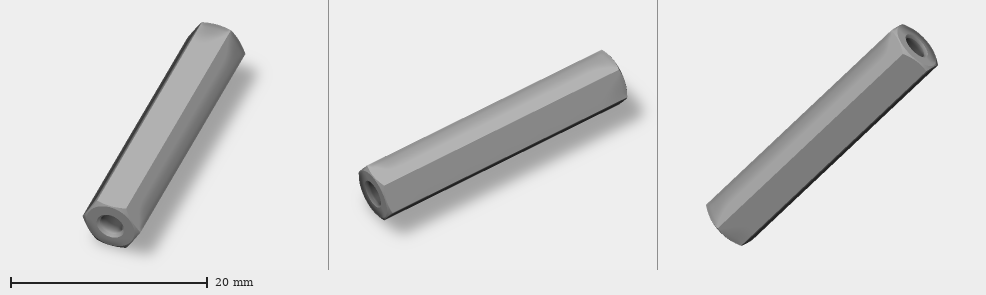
import cadquery as cq
import math

length = 29.0
across_flats = 5.5
across_corners = across_flats / math.cos(math.radians(30))

face_diameter = 5.28
chamfer_angle = 30.0

hole_diameter = 2.5
mouth_diameter = 3.02
hole_depth = 8.7
drill_point_angle = 118.0


def revolve_about_y(points):
    """Turn a half profile of (radius, y) points about the Y axis."""
    return cq.Workplane("XY").polyline(points).close().revolve(360, (0, 0, 0), (0, 1, 0))


def hexagonal_bar():
    """Bar centred on the origin, with corners on +X and -X."""
    return cq.Workplane("XZ").polygon(6, across_corners).extrude(length / 2, both=True)


def chamfered_envelope():
    """Round body, coned at both ends, that trims the corners of the bar."""
    outer_radius = across_corners
    face_radius = face_diameter / 2
    cone_height = (outer_radius - face_radius) * math.tan(math.radians(chamfer_angle))
    end = length / 2
    return revolve_about_y([
        (0, -end),
        (face_radius, -end),
        (outer_radius, -end + cone_height),
        (outer_radius, end - cone_height),
        (face_radius, end),
        (0, end),
    ])


def front_hole():
    """Cutter for the hole that opens on the -Y end."""
    radius = hole_diameter / 2
    mouth_radius = mouth_diameter / 2
    countersink_depth = mouth_radius - radius
    point_height = radius / math.tan(math.radians(drill_point_angle / 2))
    end = -length / 2
    return revolve_about_y([
        (0, end),
        (mouth_radius, end),
        (radius, end + countersink_depth),
        (radius, end + hole_depth),
        (0, end + hole_depth + point_height),
    ])


hole = front_hole()
result = hexagonal_bar().intersect(chamfered_envelope()).cut(hole).cut(hole.mirror("XZ"))